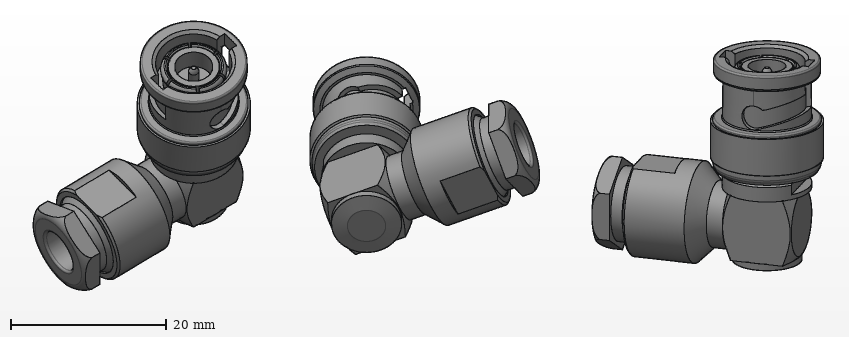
import cadquery as cq
import math


overall_length = 29.35
overall_height = 28.7
collar_diameter = 14.6
sleeve_radius = 6.65
block_width = 8.95
collar_radius = collar_diameter / 2
block_half = block_width / 2
clearance = 0.3

plug_top = overall_height - sleeve_radius
flange_side_bottom = 20.25
flange_bevel_height = 20.05
flange_bottom = 19.65
inner_floor = 18.08
collar_top = 14.03
grip_top = 13.6
grip_bottom = 8.6
rim_side_bottom = 7.85
rim_bevel_height = 7.5
collar_bottom = 7.1
shoulder_top = 6.45

neck_radius = 5.7
neck_base_radius = 5.75
neck_foot_radius = 5.87
neck_foot_height = 0.18
flange_radius = 6.9
flange_bevel_radius = 6.8
flange_foot_radius = 6.02
grip_bevel = 0.15
rim_radius = 7.0
rim_bevel_radius = 6.93
rim_foot_radius = 6.7
edge_rounding = 0.23
shoulder_radius = 5.78
shoulder_tip_radius = 4.8
neck_bore_radius = 4.9
inner_body_radius = 5.05
mouth_radius = 5.37
mouth_depth = 0.35

entry_width = 2.5
entry_reach = 6.02
detent_height = 15.88
detent_radius = 1.6
ramp_angle = 15.0
ramp_width = 2.35

finger_outer_radius = 4.25
finger_inner_radius = 3.4
finger_top = 21.13
finger_rim_radius = 3.82
finger_bulge_height = 20.6
finger_shank_radius = 4.0
finger_shank_top = 19.9
finger_chamfer = 0.2
finger_gap = 0.38
finger_count = 6
insulator_radius = 3.3
insulator_bore_radius = 2.45
insulator_top = 21.0
pin_radius = 0.68
pin_tip_radius = 0.3
pin_top = 20.78
pin_nose = 0.65
pin_nose_bulge = 0.045

block_depth = 4.67
block_turned_radius = 4.3
block_chamfer_angle = 30.0
shoulder_flat = 4.45
tab_height = 0.65
boss_radius = 4.52
boss_bottom = -5.4
dome_radius = 2.47
dome_bottom = -5.8

arm_radius = 4.37
arm_end = -6.8
sleeve_cone_end = -9.07
sleeve_flat_start = -11.6
sleeve_flat_half = 6.02
sleeve_end = -17.45
sleeve_chamfer = 0.3
gland_mouth_radius = 5.6
gland_cone_radius = 5.37
gland_radius = 4.93
gland_cone_end = -18.02
nut_start = -19.55
nut_end = collar_radius - overall_length
nut_flats = 10.98
nut_turned_radius = 6.37
nut_rounding = 1.53
cable_hole_radius = 2.88
cable_hole_rounding = 0.32
cable_hole_depth = 3.05


def cylinder(radius, bottom, top):
    """Upright cylinder on the plug axis."""
    return cq.Workplane("XY").workplane(offset=bottom).circle(radius).extrude(top - bottom)


def turned_on_z(points):
    """Solid of revolution about Z from (radius, z) points."""
    return cq.Workplane("XZ").polyline(points).close().revolve(360, (0, 0), (0, 1))


def turned_on_y(points):
    """Solid of revolution about Y from (radius, y) points."""
    return cq.Workplane("XY").polyline(points).close().revolve(360, (0, 0), (0, 1))


def box(x_range, y_range, z_range):
    """Axis-aligned box between pairs of limits."""
    size = [high - low for low, high in (x_range, y_range, z_range)]
    corner = (x_range[0], y_range[0], z_range[0])
    return cq.Workplane("XY").box(*size, centered=False).translate(corner)


def round_outer_edge(solid, height, size):
    """Fillet the largest circular edge of the solid at the given height."""
    reach = 2 * collar_radius
    tolerance = 0.03
    low_corner = (-reach, -reach, height - tolerance)
    high_corner = (reach, reach, height + tolerance)
    at_height = cq.selectors.BoxSelector(low_corner, high_corner, boundingbox=True)
    largest = cq.selectors.RadiusNthSelector(-1)
    return solid.edges(at_height).edges(largest).fillet(size)


def coupling_shell():
    """Bayonet nut: flange, tapered neck and grip collar, bored from the top."""
    shell = turned_on_z([
        (0, collar_bottom),
        (rim_foot_radius, collar_bottom),
        (rim_bevel_radius, rim_bevel_height),
        (rim_radius, rim_side_bottom),
        (rim_radius, grip_bottom - grip_bevel),
        (collar_radius, grip_bottom),
        (collar_radius, grip_top),
        (rim_radius, grip_top),
        (rim_radius, collar_top),
        (neck_foot_radius, collar_top),
        (neck_base_radius, collar_top + neck_foot_height),
        (neck_radius, flange_bottom),
        (flange_foot_radius, flange_bottom),
        (flange_bevel_radius, flange_bevel_height),
        (flange_radius, flange_side_bottom),
        (flange_radius, plug_top),
        (mouth_radius, plug_top),
        (neck_bore_radius, plug_top - mouth_depth),
        (neck_bore_radius, collar_top),
        (0, collar_top),
    ])
    shell = round_outer_edge(shell, plug_top, edge_rounding)
    return round_outer_edge(shell, collar_top, edge_rounding)


def bayonet_slot():
    """Entry slot on the -Y side with its ramp and the round detent on the -X side."""
    beyond = 2 * flange_radius
    half_width = entry_width / 2
    entry = box((-half_width, half_width), (-entry_reach, 0), (detent_height, plug_top + clearance))
    detent = cq.Workplane("YZ").center(0, detent_height).circle(detent_radius).extrude(-beyond)
    ramp = (
        box((-beyond, half_width), (-beyond, 0), (-detent_radius, ramp_width - detent_radius))
        .rotate((0, 0, 0), (1, 0, 0), -ramp_angle)
        .translate((0, 0, detent_height))
    )
    return entry.union(detent).union(ramp)


def contact_fingers():
    """Spring ring with a rounded rim, split into equal fingers."""
    ring = (
        cq.Workplane("XZ")
        .moveTo(finger_inner_radius, collar_top)
        .lineTo(finger_shank_radius, collar_top)
        .lineTo(finger_shank_radius, finger_shank_top)
        .threePointArc((finger_outer_radius, finger_bulge_height), (finger_rim_radius, finger_top))
        .lineTo(finger_inner_radius + finger_chamfer, finger_top)
        .lineTo(finger_inner_radius, finger_top - finger_chamfer)
        .close()
        .revolve(360, (0, 0), (0, 1))
    )
    gap = box(
        (-finger_gap / 2, finger_gap / 2),
        (0, finger_outer_radius + clearance),
        (inner_floor, plug_top),
    )
    for index in range(finger_count):
        ring = ring.cut(gap.rotate((0, 0, 0), (0, 0, 1), index * 360 / finger_count))
    return ring


def plug_core():
    """Inner body with the fingers, the insulator tube and the centre pin."""
    body = cylinder(inner_body_radius, collar_bottom, inner_floor)
    tube = cylinder(insulator_radius, collar_bottom, insulator_top)
    tube = tube.cut(cylinder(insulator_bore_radius, inner_floor, insulator_top))
    nose_base = pin_top - pin_nose
    nose_middle = (
        (pin_radius + pin_tip_radius) / 2 + pin_nose_bulge,
        nose_base + pin_nose / 2 + pin_nose_bulge,
    )
    pin = (
        cq.Workplane("XZ")
        .moveTo(0, collar_bottom)
        .lineTo(pin_radius, collar_bottom)
        .lineTo(pin_radius, nose_base)
        .threePointArc(nose_middle, (pin_tip_radius, pin_top))
        .lineTo(0, pin_top)
        .close()
        .revolve(360, (0, 0), (0, 1))
    )
    return body.union(contact_fingers()).union(tube).union(pin)


def elbow_block():
    """Square block whose +Y and -Y ends are chamfered as if turned about Y."""
    corner_radius = 2 * block_half
    corner_drop = (corner_radius - block_turned_radius) * math.tan(math.radians(block_chamfer_angle))
    envelope = turned_on_y([
        (0, -block_depth),
        (block_turned_radius, -block_depth),
        (corner_radius, corner_drop - block_depth),
        (corner_radius, block_depth - corner_drop),
        (block_turned_radius, block_depth),
        (0, block_depth),
    ])
    sides = (-block_half, block_half)
    block = box(sides, (-block_depth, block_depth), sides).intersect(envelope)
    boss = turned_on_z([
        (0, -block_half),
        (boss_radius, -block_half),
        (boss_radius, boss_bottom),
        (dome_radius, dome_bottom),
        (0, dome_bottom),
    ])
    return block.union(boss)


def shoulder():
    """Round shoulder over the block, flattened at the back above a thin tab."""
    disc = turned_on_z([
        (0, block_half),
        (shoulder_radius, block_half),
        (shoulder_radius, shoulder_top),
        (shoulder_tip_radius, collar_bottom),
        (0, collar_bottom),
    ])
    back = box(
        (-shoulder_radius, shoulder_radius),
        (shoulder_flat, 2 * shoulder_radius),
        (block_half + tab_height, collar_bottom),
    )
    return disc.cut(back)


def cable_sleeve():
    """Arm, flared sleeve with two wrench flats, and the gland behind the nut."""
    cone_slope = (sleeve_end - gland_cone_end) / (gland_cone_radius - gland_radius)
    gland_root = sleeve_end + (gland_mouth_radius - gland_cone_radius) * cone_slope
    sleeve = turned_on_y([
        (0, 0),
        (arm_radius, 0),
        (arm_radius, arm_end),
        (sleeve_radius, sleeve_cone_end),
        (sleeve_radius, sleeve_end + sleeve_chamfer),
        (sleeve_radius - sleeve_chamfer, sleeve_end),
        (gland_mouth_radius, sleeve_end),
        (gland_mouth_radius, gland_root),
        (gland_radius, gland_cone_end),
        (gland_radius, nut_start),
        (0, nut_start),
    ])
    for side in (0, 180):
        flat = box(
            (-sleeve_radius, sleeve_radius),
            (sleeve_end, sleeve_flat_start),
            (sleeve_flat_half, 2 * sleeve_radius),
        )
        sleeve = sleeve.cut(flat.rotate((0, 0, 0), (0, 1, 0), side))
    return sleeve


def clamp_nut():
    """Hexagonal nut with a rounded outer end."""
    length = nut_start - nut_end
    corner_to_corner = nut_flats / math.cos(math.radians(30))
    back = cq.Workplane("XZ", origin=(0, nut_start, 0))
    hexagon = back.polygon(6, corner_to_corner).extrude(length).rotate((0, 0, 0), (0, 1, 0), 30)
    rounded = back.circle(nut_turned_radius).extrude(length).faces("<Y").edges().fillet(nut_rounding)
    return hexagon.intersect(rounded)


def with_cable_hole(solid):
    """Blind cable hole through the nut into the gland, with a rounded rim."""
    hole = (
        cq.Workplane("XZ", origin=(0, nut_end + cable_hole_depth, 0))
        .circle(cable_hole_radius)
        .extrude(cable_hole_depth)
    )
    smallest = cq.selectors.RadiusNthSelector(0)
    return solid.cut(hole).faces("<Y").edges("%CIRCLE").edges(smallest).fillet(cable_hole_rounding)


plug = coupling_shell()
for turn in (0, 180):
    plug = plug.cut(bayonet_slot().rotate((0, 0, 0), (0, 0, 1), turn))
plug = plug.union(plug_core())

elbow = shoulder().union(elbow_block())
cable_end = with_cable_hole(cable_sleeve().union(clamp_nut()))

result = plug.union(elbow).union(cable_end)